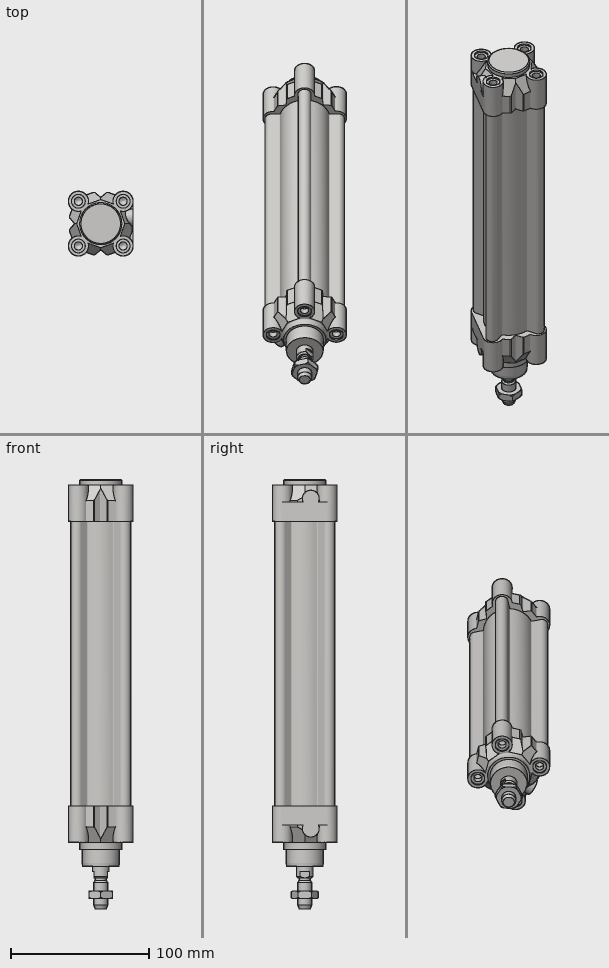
import cadquery as cq
import math

TOTAL_LENGTH = 311.0
HEAD_WIDTH = 47.0

CAP_HEIGHT = 26.5
FRONT_CAP_Z = 48.2
BOSS_DIAMETER = 30.5
REAR_BOSS_HEIGHT = 4.0
REAR_BOSS_CHAMFER = 1.0
FRONT_BOSS_HEIGHT = 5.3
FRONT_BOSS_FILLET = 1.0
NOSE_DIAMETER = 27.0
NOSE_HEIGHT = 12.0
NOSE_TIP_DIAMETER = 26.5
NOSE_TIP_HEIGHT = 2.5

SCREW_SPACING = 32.3
SCREW_RECESS = 10.0
SCREW_RECESS_DEPTH = 1.2
SCREW_SOCKET = 6.0
SCREW_SOCKET_DEPTH = 6.2
SCREW_POINT_ANGLE = 120.0

RIB_FOOT_X = 10.5
RIB_FOOT_Y = 20.8
RIB_FOOT_FILLET = 0.3
RIB_CREST_X = 5.3
RIB_CREST_Y = 22.7
GROOVE_HALF_WIDTH = 4.5
GROOVE_BOTTOM_Y = 19.0
GROOVE_FILLET = 0.5
BEVEL_TOP_Y = 17.5
BEVEL_HEIGHT = 11.2

PORT_PAD_HEIGHT = 14.0
PORT_BOSS_DIAMETER = 12.0
PORT_BOSS_OFFSET = 4.5
PORT_BOSS_DEPTH = 10.0

BARREL_WIDTH = 43.5
BARREL_CORE_RADIUS = 18.5
COLUMN_INNER = 14.5
COLUMN_FOOT = 9.3
COLUMN_RADIUS = 4.7
COLUMN_FOOT_FILLET = 1.0

ROD_DIAMETER = 12.0
ROD_SHOULDER_Z = 22.5
ROD_CHAMFER = 1.2
FLAT_WIDTH = 10.0
FLAT_TOP_Z = 27.0
NECK_DIAMETER = 8.0
THREAD_DIAMETER = 10.3
THREAD_TOP_Z = 20.5
THREAD_CHAMFER = 1.2
TIP_CHAMFER_HEIGHT = 2.8

NUT_ACROSS_FLATS = 17.0
NUT_HEIGHT = 5.5
NUT_Z = 7.5
NUT_CHAMFER = 1.0

REAR_CAP_TOP_Z = TOTAL_LENGTH - REAR_BOSS_HEIGHT
BARREL_BOTTOM_Z = FRONT_CAP_Z + CAP_HEIGHT
BARREL_TOP_Z = REAR_CAP_TOP_Z - CAP_HEIGHT
BARREL_LENGTH = BARREL_TOP_Z - BARREL_BOTTOM_Z
COLUMN_FOOT_Y = math.sqrt(BARREL_CORE_RADIUS**2 - COLUMN_FOOT**2)
HALF_HEAD = HEAD_WIDTH / 2
HALF_SPACING = SCREW_SPACING / 2
CORNER_RADIUS = HALF_HEAD - HALF_SPACING
CORNERS = [(x, y) for x in (-HALF_SPACING, HALF_SPACING) for y in (-HALF_SPACING, HALF_SPACING)]
RIB_TILT = math.degrees(math.atan2(RIB_CREST_Y - RIB_FOOT_Y, RIB_FOOT_X - RIB_CREST_X))
QUARTER_TURNS = (0, 90, 180, 270)


def turned(shape, angle):
    return shape.rotate((0, 0, 0), (0, 0, 1), angle)


def cap_side():
    """One quarter of the cap on its -Y side: two ribs with a groove between them."""
    outline = [
        (0, 0),
        (-RIB_FOOT_Y, -RIB_FOOT_Y),
        (-RIB_FOOT_X, -RIB_FOOT_Y),
        (-RIB_CREST_X, -RIB_CREST_Y),
        (-GROOVE_HALF_WIDTH, -RIB_CREST_Y),
        (0, -GROOVE_BOTTOM_Y),
        (GROOVE_HALF_WIDTH, -RIB_CREST_Y),
        (RIB_CREST_X, -RIB_CREST_Y),
        (RIB_FOOT_X, -RIB_FOOT_Y),
        (RIB_FOOT_Y, -RIB_FOOT_Y),
    ]
    side = cq.Workplane("XY").polyline(outline).close().extrude(CAP_HEIGHT)
    groove_edge = cq.NearestToPointSelector((0, -GROOVE_BOTTOM_Y, CAP_HEIGHT / 2))
    return side.edges(groove_edge).fillet(GROOVE_FILLET)


def corner_columns():
    return cq.Workplane("XY").pushPoints(CORNERS).circle(CORNER_RADIUS).extrude(CAP_HEIGHT)


def fillet_rib_feet(body):
    """Rounds the valleys between the ribs and the corner columns, one side at a time."""
    for _ in QUARTER_TURNS:
        body = turned(body, 90)
        for x in (-RIB_FOOT_X, RIB_FOOT_X):
            valley = cq.NearestToPointSelector((x, -RIB_FOOT_Y, CAP_HEIGHT / 2))
            body = body.edges("|Z").edges(valley).fillet(RIB_FOOT_FILLET)
    return body


def bevel_wedge():
    """Wedge that slopes the outer end of a rib facing -Y."""
    tilt = math.radians(RIB_TILT)
    top_distance = BEVEL_TOP_Y * math.cos(tilt)
    face_distance = RIB_CREST_Y * math.cos(tilt) + RIB_CREST_X * math.sin(tilt)
    slope = BEVEL_HEIGHT / (face_distance - top_distance)
    reach = HEAD_WIDTH - top_distance
    outline = [
        (-top_distance, CAP_HEIGHT),
        (-top_distance - reach, CAP_HEIGHT),
        (-top_distance - reach, CAP_HEIGHT - slope * reach),
    ]
    return cq.Workplane("YZ").polyline(outline).close().extrude(HEAD_WIDTH, both=True)


def port_groove_filling():
    """Block that fills the groove between the two ribs on the +X side."""
    return (
        cq.Workplane("XY")
        .rect(RIB_CREST_Y, 2 * RIB_CREST_X)
        .extrude(CAP_HEIGHT)
        .translate((RIB_CREST_Y / 2, 0, 0))
    )


def port_pad():
    """Flat pad on the +X side with a round port boss rising from it."""
    pad = (
        cq.Workplane("XY")
        .rect(CORNER_RADIUS, SCREW_SPACING)
        .extrude(PORT_PAD_HEIGHT)
        .translate((HALF_HEAD - CORNER_RADIUS / 2, 0, 0))
    )
    boss = (
        cq.Workplane("YZ")
        .center(PORT_BOSS_OFFSET, CAP_HEIGHT - PORT_BOSS_DEPTH)
        .circle(PORT_BOSS_DIAMETER / 2)
        .extrude(HALF_HEAD)
    )
    return pad.union(boss)


def screw_recess():
    """Counterbore and pointed socket, measured down from z = 0."""
    point_height = SCREW_SOCKET / 2 / math.tan(math.radians(SCREW_POINT_ANGLE / 2))
    outline = [
        (0, 0),
        (SCREW_RECESS / 2, 0),
        (SCREW_RECESS / 2, -SCREW_RECESS_DEPTH),
        (SCREW_SOCKET / 2, -SCREW_RECESS_DEPTH),
        (SCREW_SOCKET / 2, -SCREW_SOCKET_DEPTH),
        (0, -SCREW_SOCKET_DEPTH - point_height),
    ]
    return cq.Workplane("XZ").polyline(outline).close().revolve(360, (0, 0), (0, 1))


def cap_body():
    """End cap standing on z = 0 with its outer face up and the port towards +X."""
    body = corner_columns()
    for angle in QUARTER_TURNS:
        body = body.union(turned(cap_side(), angle))
    body = fillet_rib_feet(body).union(port_groove_filling())
    for angle in QUARTER_TURNS:
        for rib_angle in (angle - RIB_TILT, angle + RIB_TILT):
            body = body.cut(turned(bevel_wedge(), rib_angle).cut(corner_columns()))
    body = body.union(port_pad())
    for x, y in CORNERS:
        body = body.cut(screw_recess().translate((x, y, CAP_HEIGHT)))
    return body


def make_rear_cap():
    boss = (
        cq.Workplane("XY", origin=(0, 0, CAP_HEIGHT))
        .circle(BOSS_DIAMETER / 2)
        .extrude(REAR_BOSS_HEIGHT)
        .faces(">Z")
        .chamfer(REAR_BOSS_CHAMFER)
    )
    return cap_body().union(boss).translate((0, 0, BARREL_TOP_Z))


def make_front_cap():
    """Same cap mirrored to face down, with a stepped nose and the rod bore."""
    body = cap_body().mirror("XY").translate((0, 0, BARREL_BOTTOM_Z))
    base_radius = BOSS_DIAMETER / 2
    boss_bottom_z = FRONT_CAP_Z - FRONT_BOSS_HEIGHT
    nose_bottom_z = boss_bottom_z - NOSE_HEIGHT
    fillet_point = FRONT_BOSS_FILLET * (1 - math.sqrt(0.5))
    nose = (
        cq.Workplane("XZ")
        .moveTo(0, FRONT_CAP_Z)
        .lineTo(base_radius + FRONT_BOSS_FILLET, FRONT_CAP_Z)
        .threePointArc(
            (base_radius + fillet_point, FRONT_CAP_Z - fillet_point),
            (base_radius, FRONT_CAP_Z - FRONT_BOSS_FILLET),
        )
        .lineTo(base_radius, boss_bottom_z)
        .lineTo(NOSE_DIAMETER / 2, boss_bottom_z)
        .lineTo(NOSE_DIAMETER / 2, nose_bottom_z + NOSE_TIP_HEIGHT)
        .lineTo(NOSE_TIP_DIAMETER / 2, nose_bottom_z)
        .lineTo(0, nose_bottom_z)
        .close()
        .revolve(360, (0, 0), (0, 1))
    )
    bore = cq.Workplane("XY").circle(ROD_DIAMETER / 2).extrude(BARREL_BOTTOM_Z)
    return body.union(nose).cut(bore)


def barrel_column():
    """Rounded corner column with sloping flanks, towards +X +Y."""
    centre = BARREL_WIDTH / 2 - COLUMN_RADIUS
    outer_y = centre + math.sqrt(COLUMN_RADIUS**2 - (centre - COLUMN_INNER) ** 2)
    round_point = centre + COLUMN_RADIUS * math.sqrt(0.5)
    return (
        cq.Workplane("XY")
        .moveTo(0, 0)
        .lineTo(COLUMN_FOOT, COLUMN_FOOT_Y)
        .lineTo(COLUMN_INNER, outer_y)
        .threePointArc((round_point, round_point), (outer_y, COLUMN_INNER))
        .lineTo(COLUMN_FOOT_Y, COLUMN_FOOT)
        .close()
        .extrude(BARREL_LENGTH)
    )


def make_barrel():
    barrel = cq.Workplane("XY").circle(BARREL_CORE_RADIUS).extrude(BARREL_LENGTH)
    for angle in QUARTER_TURNS:
        barrel = barrel.union(turned(barrel_column(), angle))
    for _ in QUARTER_TURNS:
        barrel = turned(barrel, 90)
        for x in (-COLUMN_FOOT, COLUMN_FOOT):
            foot = cq.NearestToPointSelector((x, COLUMN_FOOT_Y, BARREL_LENGTH / 2))
            barrel = barrel.edges("|Z").edges(foot).fillet(COLUMN_FOOT_FILLET)
    return barrel.translate((0, 0, BARREL_BOTTOM_Z))


def make_rod():
    """Rod with a threaded end, a neck behind the thread and two spanner flats."""
    rod_radius = ROD_DIAMETER / 2
    neck_radius = NECK_DIAMETER / 2
    thread_radius = THREAD_DIAMETER / 2
    outline = [
        (0, 0),
        (neck_radius, 0),
        (thread_radius, TIP_CHAMFER_HEIGHT),
        (thread_radius, THREAD_TOP_Z - THREAD_CHAMFER),
        (neck_radius, THREAD_TOP_Z),
        (neck_radius, ROD_SHOULDER_Z),
        (rod_radius - ROD_CHAMFER, ROD_SHOULDER_Z),
        (rod_radius, ROD_SHOULDER_Z + ROD_CHAMFER),
        (rod_radius, BARREL_BOTTOM_Z),
        (0, BARREL_BOTTOM_Z),
    ]
    rod = cq.Workplane("XZ").polyline(outline).close().revolve(360, (0, 0), (0, 1))
    flat_cut = (
        cq.Workplane("XY", origin=(0, 0, ROD_SHOULDER_Z))
        .rect(2 * ROD_DIAMETER, 2 * ROD_DIAMETER)
        .rect(FLAT_WIDTH, 2 * ROD_DIAMETER)
        .extrude(FLAT_TOP_Z - ROD_SHOULDER_Z)
    )
    return rod.cut(flat_cut)


def make_nut():
    """Hexagon nut with corners on the Y axis, chamfered at both ends."""
    corner_radius = NUT_ACROSS_FLATS / math.sqrt(3)
    hexagon = cq.Workplane("XY").polygon(6, 2 * corner_radius).extrude(NUT_HEIGHT)
    rounding = cq.Workplane("XY").circle(corner_radius).extrude(NUT_HEIGHT).edges().chamfer(NUT_CHAMFER)
    bore = cq.Workplane("XY").circle(THREAD_DIAMETER / 2).extrude(NUT_HEIGHT)
    nut = turned(hexagon, 90).intersect(rounding).cut(bore)
    return nut.translate((0, 0, NUT_Z))


rear_cap = make_rear_cap()
barrel = make_barrel()
front_cap = make_front_cap()
rod = make_rod()
nut = make_nut()

result = cq.Compound.makeCompound([rear_cap.val(), barrel.val(), front_cap.val(), rod.val(), nut.val()])